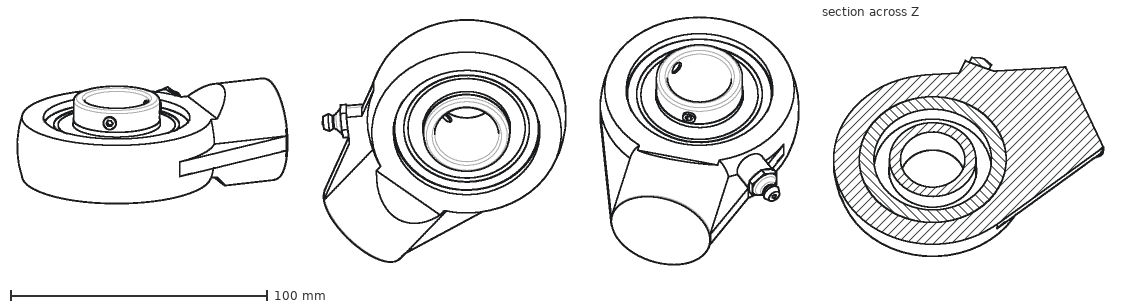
import cadquery as cq
import math

SPHERE_R = 38.8
HEAD_WIDTH = 23.8
SEAT_DIA = 57.1
SHANK_DIA = 40.0
SHANK_END_Y = 63.9
SHANK_CHAMFER_LENGTH = 0.6
SHANK_CHAMFER_DEPTH = 0.2
TAPER_ANGLE = 45
TAPER_FOOT_Y = 35.9
WEB_THICKNESS = 6.0

NIPPLE_ANGLE = 135
NIPPLE_Z = 4.0
BOSS_DIA = 12.0
BOSS_END = 46.6
BOSS_START = 30.8
HEX_ACROSS_FLATS = 11.2
HEX_LENGTH = 2.4
FLANGE_LENGTH = 0.6
FLANGE_BASE_R = 5.5
FLANGE_TOP_R = 4.6
NECK_R = 2.6
NECK_LENGTH = 0.5
CONE_LENGTH = 1.4
FLARE_LENGTH = 0.9
FLARE_R = 3.2
HEAD_MAX_R = 3.4
HEAD_BACK_LENGTH = 1.5
HEAD_FRONT_LENGTH = 2.2
TIP_R = 2.5
BALL_DIA = 1.8
BALL_PROTRUSION = 0.5

OUTER_RING_WIDTH = 18.3
OUTER_RING_BORE = 45.7
OUTER_RING_RECESS_DIA = 49.0
OUTER_RING_RECESS_DEPTH = 0.3
OUTER_RING_CHAMFER = 0.5

BORE_DIA = 25.0
COLLAR_DIA = 33.6
RACE_DIA = 33.9
RACE_WIDTH = 22.0
INNER_RING_TOP_Z = 19.7
INNER_RING_BOTTOM_Z = -14.3
INNER_RING_FILLET = 1.0

SEAL_BORE = 34.2
SEAL_OUTER_Z = 8.7
SEAL_RISE = 0.4
SEAL_THICKNESS = 1.5

SCREW_DIA = 4.9
SCREW_Z = 14.8
SCREW_ANGLES = (90, -30)
SCREW_OUTER_R = 17.8
SCREW_INNER_R = 13.2
SOCKET_ACROSS_FLATS = 2.3
SOCKET_DEPTH = 2.1
SOCKET_TURN = 30


def cylinder(diameter, z_from, z_to):
    return cq.Workplane("XY").workplane(offset=z_from).circle(diameter / 2).extrude(z_to - z_from)


def radial_plane(angle, distance, z):
    """Plane facing outward from the Z axis, with its local Y along +Z."""
    cos_a = math.cos(math.radians(angle))
    sin_a = math.sin(math.radians(angle))
    return cq.Plane(
        origin=(distance * cos_a, distance * sin_a, z),
        xDir=(-sin_a, cos_a, 0),
        normal=(cos_a, sin_a, 0),
    )


def revolve_about_z(points):
    """Turn a closed (radius, z) outline about the Z axis."""
    return cq.Workplane("XZ").polyline(points).close().revolve(360, (0, 0), (0, 1))


def make_head():
    half_width = HEAD_WIDTH / 2
    return cq.Workplane("XY").sphere(SPHERE_R).intersect(cylinder(2 * SPHERE_R, -half_width, half_width))


def make_shank():
    shank_r = SHANK_DIA / 2
    start_y = math.sqrt(SPHERE_R**2 - shank_r**2)
    chamfer_y = SHANK_END_Y - SHANK_CHAMFER_LENGTH
    shank = (
        cq.Workplane("XY")
        .moveTo(0, start_y)
        .lineTo(shank_r, start_y)
        .lineTo(shank_r, chamfer_y)
        .lineTo(shank_r - SHANK_CHAMFER_DEPTH, SHANK_END_Y)
        .lineTo(0, SHANK_END_Y)
        .close()
        .revolve(360, (0, 0), (0, 1))
    )
    half_width = HEAD_WIDTH / 2
    rise = shank_r - half_width
    taper_top_y = TAPER_FOOT_Y + rise / math.tan(math.radians(TAPER_ANGLE))
    side_profile = [
        (0, half_width),
        (TAPER_FOOT_Y, half_width),
        (taper_top_y, shank_r),
        (SHANK_END_Y, shank_r),
        (SHANK_END_Y, -shank_r),
        (taper_top_y, -shank_r),
        (TAPER_FOOT_Y, -half_width),
        (0, -half_width),
    ]
    return shank.intersect(cq.Workplane("YZ").polyline(side_profile).close().extrude(shank_r, both=True))


def make_web():
    """Flat web whose straight edges run from the shank end tangentially onto the head."""
    corner_x = SHANK_DIA / 2
    corner_y = SHANK_END_Y - SHANK_CHAMFER_LENGTH
    corner_angle = math.atan2(corner_y, corner_x)
    tangent_angle = corner_angle - math.acos(SPHERE_R / math.hypot(corner_x, corner_y))
    tangent_x = SPHERE_R * math.cos(tangent_angle)
    tangent_y = SPHERE_R * math.sin(tangent_angle)
    outline = [
        (0, 0),
        (tangent_x, tangent_y),
        (corner_x, corner_y),
        (-corner_x, corner_y),
        (-tangent_x, tangent_y),
    ]
    return cq.Workplane("XY").polyline(outline).close().extrude(WEB_THICKNESS / 2, both=True)


def make_boss():
    """Round-topped boss under the nipple, with straight sides down to the underside of the web."""
    length = BOSS_END - BOSS_START
    plane = radial_plane(NIPPLE_ANGLE, BOSS_START, NIPPLE_Z)
    height = NIPPLE_Z + WEB_THICKNESS / 2
    barrel = cq.Workplane(plane).circle(BOSS_DIA / 2).extrude(length)
    foot = cq.Workplane(plane).center(0, -height / 2).rect(BOSS_DIA, height).extrude(length)
    above_underside = cylinder(2 * SHANK_END_Y, -WEB_THICKNESS / 2, SHANK_DIA)
    return barrel.union(foot).intersect(above_underside)


def make_housing():
    body = make_head().union(make_shank()).union(make_web()).union(make_boss())
    return body.cut(cylinder(SEAT_DIA, -SHANK_DIA, SHANK_DIA))


def make_outer_ring():
    half_width = OUTER_RING_WIDTH / 2
    ring = cylinder(SEAT_DIA, -half_width, half_width).edges().chamfer(OUTER_RING_CHAMFER)
    ring = ring.cut(cylinder(OUTER_RING_BORE, -half_width, half_width))
    floor_z = half_width - OUTER_RING_RECESS_DEPTH
    ring = ring.cut(cylinder(OUTER_RING_RECESS_DIA, floor_z, half_width))
    return ring.cut(cylinder(OUTER_RING_RECESS_DIA, -half_width, -floor_z))


def make_inner_ring():
    collar_r = COLLAR_DIA / 2
    race_r = RACE_DIA / 2
    bore_r = BORE_DIA / 2
    race_z = RACE_WIDTH / 2
    ring = revolve_about_z(
        [
            (bore_r, INNER_RING_BOTTOM_Z),
            (collar_r, INNER_RING_BOTTOM_Z),
            (collar_r, -race_z),
            (race_r, -race_z),
            (race_r, race_z),
            (collar_r, race_z),
            (collar_r, INNER_RING_TOP_Z),
            (bore_r, INNER_RING_TOP_Z),
        ]
    )
    ring = ring.faces("<Z or >Z").edges().fillet(INNER_RING_FILLET)
    for angle in SCREW_ANGLES:
        hole_plane = radial_plane(angle, 0, SCREW_Z)
        ring = ring.cut(cq.Workplane(hole_plane).circle(SCREW_DIA / 2).extrude(COLLAR_DIA))
    return ring


def make_seal(side):
    """Slightly coned disc between the rings, on the +Z (side = 1) or -Z (side = -1) face."""
    inner_r = SEAL_BORE / 2
    outer_r = OUTER_RING_BORE / 2
    inner_z = SEAL_OUTER_Z + SEAL_RISE
    return revolve_about_z(
        [
            (inner_r, side * inner_z),
            (outer_r, side * SEAL_OUTER_Z),
            (outer_r, side * (SEAL_OUTER_Z - SEAL_THICKNESS)),
            (inner_r, side * (inner_z - SEAL_THICKNESS)),
        ]
    )


def make_set_screw(angle):
    """Plain headless screw with a hexagon socket in its outer end."""
    length = SCREW_OUTER_R - SCREW_INNER_R
    screw = cq.Workplane(radial_plane(angle, SCREW_INNER_R, SCREW_Z)).circle(SCREW_DIA / 2).extrude(length)
    socket = (
        cq.Workplane(radial_plane(angle, SCREW_OUTER_R - SOCKET_DEPTH, SCREW_Z))
        .transformed(rotate=(0, 0, SOCKET_TURN))
        .polygon(6, SOCKET_ACROSS_FLATS, circumscribed=True)
        .extrude(SOCKET_DEPTH)
    )
    return screw.cut(socket)


def make_grease_nipple():
    """Hexagon seated on the boss, with a turned flange, neck and head and a ball in the tip."""
    hexagon = (
        cq.Workplane(radial_plane(NIPPLE_ANGLE, BOSS_END, NIPPLE_Z))
        .polygon(6, HEX_ACROSS_FLATS, circumscribed=True)
        .extrude(HEX_LENGTH)
    )
    flange_end = HEX_LENGTH + FLANGE_LENGTH
    cone_end = flange_end + CONE_LENGTH
    neck_start = cone_end + FLARE_LENGTH
    neck_end = neck_start + NECK_LENGTH
    head_max = neck_end + HEAD_BACK_LENGTH
    tip = head_max + HEAD_FRONT_LENGTH
    profile = [
        (0, 0),
        (0, FLANGE_BASE_R),
        (HEX_LENGTH, FLANGE_BASE_R),
        (flange_end, FLANGE_TOP_R),
        (cone_end, FLARE_R),
        (neck_start, NECK_R),
        (neck_end, NECK_R),
        (head_max, HEAD_MAX_R),
        (tip, TIP_R),
        (tip, 0),
    ]
    cos_a = math.cos(math.radians(NIPPLE_ANGLE))
    sin_a = math.sin(math.radians(NIPPLE_ANGLE))
    axial_plane = cq.Plane(
        origin=(BOSS_END * cos_a, BOSS_END * sin_a, NIPPLE_Z),
        xDir=(cos_a, sin_a, 0),
        normal=(sin_a, -cos_a, 0),
    )
    turned = cq.Workplane(axial_plane).polyline(profile).close().revolve(360, (0, 0), (1, 0))
    ball_r = BALL_DIA / 2
    ball_centre = BOSS_END + tip + BALL_PROTRUSION - ball_r
    ball = cq.Workplane(radial_plane(NIPPLE_ANGLE, ball_centre, NIPPLE_Z)).sphere(ball_r)
    return hexagon.union(turned).union(ball)


housing = make_housing()
outer_ring = make_outer_ring()
inner_ring = make_inner_ring()
seals = [make_seal(side) for side in (1, -1)]
set_screws = [make_set_screw(angle) for angle in SCREW_ANGLES]
grease_nipple = make_grease_nipple()

result = cq.Compound.makeCompound(
    [
        housing.val(),
        outer_ring.val(),
        inner_ring.val(),
        *[seal.val() for seal in seals],
        *[screw.val() for screw in set_screws],
        grease_nipple.val(),
    ]
)